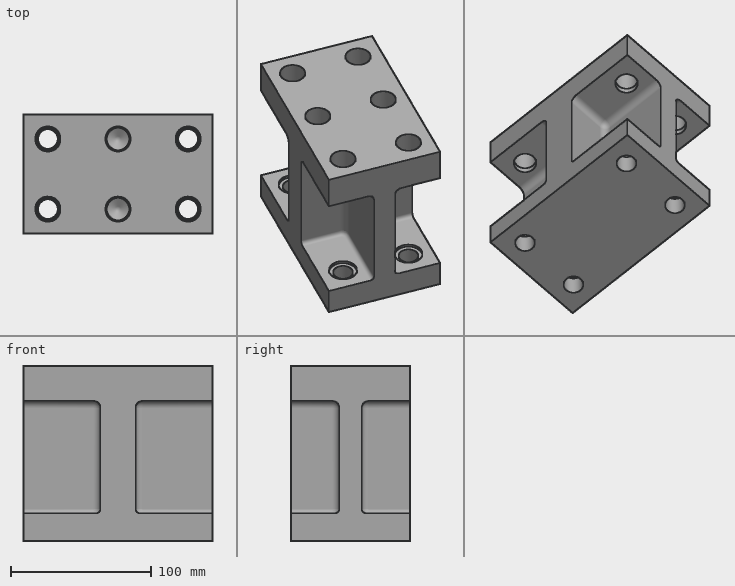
import cadquery as cq
import math

length = 135.0
width = 85.0
height = 125.0

base_thickness = 20.0
top_thickness = 25.0
cross_web_thickness = 25.0
long_web_thickness = 16.0

base_fillet = 3.0
pocket_fillet = 5.0

hole_pitch = 50.0
row_offset = hole_pitch / 2
top_hole_diameter = 18.0
core_diameter = 16.0
base_hole_diameter = 14.0
spotface_diameter = 20.0
spotface_depth = 2.0
top_hole_depth = 20.0
blind_core_depth = 30.0
drill_point_angle = 118.0


def corner_pocket():
    """Open space between the flanges at the +X +Y corner, rounded along its inner edges."""
    pocket_length = (length - cross_web_thickness) / 2
    pocket_width = (width - long_web_thickness) / 2
    pocket_height = height - base_thickness - top_thickness
    pocket = (
        cq.Workplane("XY")
        .box(pocket_length, pocket_width, pocket_height, centered=False)
        .edges("|Z and <X and <Y")
        .fillet(pocket_fillet)
    )
    outer_edges = ">X or >Y"
    pocket = pocket.faces(">Z").edges(f"not ({outer_edges})").fillet(pocket_fillet)
    pocket = pocket.faces("<Z").edges(f"not ({outer_edges})").fillet(base_fillet)
    return pocket.translate((cross_web_thickness / 2, long_web_thickness / 2, base_thickness))


def cut_pockets(body):
    """Remove the pocket at all four corners, leaving two flanges and crossed webs."""
    pocket = corner_pocket()
    both_ends = pocket.union(pocket.mirror("YZ"))
    return body.cut(both_ends).cut(both_ends.mirror("XZ"))


def drill_down(body, points, diameter, start_z, depth):
    """Cut flat-ended round holes downwards from the level start_z."""
    drills = cq.Workplane("XY", origin=(0, 0, start_z)).pushPoints(points).circle(diameter / 2)
    return body.cut(drills.extrude(-depth))


def cut_flange_holes(body):
    """Stepped holes through the top flange in line with spotfaced holes through the base."""
    points = [(x, y) for x in (-hole_pitch, hole_pitch) for y in (-row_offset, row_offset)]
    body = drill_down(body, points, top_hole_diameter, height, top_hole_depth)
    body = drill_down(body, points, core_diameter, height, top_thickness)
    body = drill_down(body, points, spotface_diameter, base_thickness, spotface_depth)
    return drill_down(body, points, base_hole_diameter, base_thickness, base_thickness)


def cut_middle_holes(body):
    """Blind stepped holes with a conical bottom, drilled into the cross web."""
    core_radius = core_diameter / 2
    cone_height = core_radius / math.tan(math.radians(drill_point_angle / 2))
    shoulder_z = height - top_hole_depth
    core_end_z = height - blind_core_depth
    half_profile = (
        cq.Workplane("XZ")
        .moveTo(0, height)
        .lineTo(top_hole_diameter / 2, height)
        .lineTo(top_hole_diameter / 2, shoulder_z)
        .lineTo(core_radius, shoulder_z)
        .lineTo(core_radius, core_end_z)
        .lineTo(0, core_end_z - cone_height)
        .close()
    )
    drill = half_profile.revolve(360, (0, 0, 0), (0, 1, 0))
    for y in (-row_offset, row_offset):
        body = body.cut(drill.translate((0, y, 0)))
    return body


block = cq.Workplane("XY").box(length, width, height, centered=(True, True, False))
result = cut_middle_holes(cut_flange_holes(cut_pockets(block)))